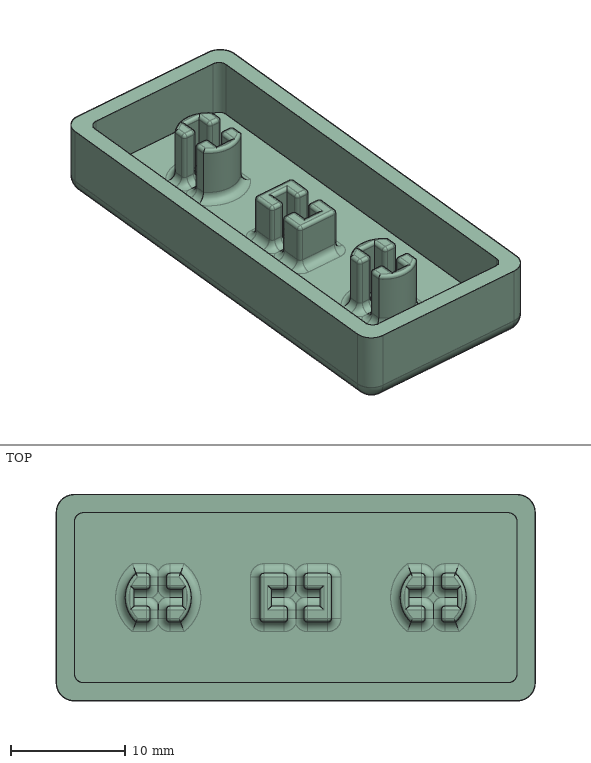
import cadquery as cq
LENGTH = 41.85
WIDTH = 18.05
HEIGHT = 7.0
WALL = 1.6
FLOOR = 1.6
OUTER_RADIUS = 1.6
INNER_RADIUS = 0.8

SQUARE_POST_TOP = 6.0
ROUND_POST_TOP = HEIGHT
POST_PITCH = 12.0
POST_DEPTH = 4.25
SQUARE_POST_LENGTH = 6.25
ROUND_POST_DIAMETER = 5.78
EDGE_RADIUS = 0.35
FOOT_RADIUS = 0.85

SOCKET_LENGTH = 4.23
SOCKET_WIDTH = 1.45
GAP_WIDTH = 1.42

REACH = 6.28
PAD_HEIGHTS = (FLOOR / 2, FLOOR)
MARGIN = 0.05


def make_tray():
    shell = (
        cq.Workplane("XY")
        .box(LENGTH, WIDTH, HEIGHT, centered=(True, True, False))
        .edges("|Z")
        .fillet(OUTER_RADIUS)
        .faces("<Z")
        .edges()
        .fillet(OUTER_RADIUS)
    )
    cavity = (
        cq.Workplane("XY", origin=(0, 0, FLOOR))
        .rect(LENGTH - 2 * WALL, WIDTH - 2 * WALL)
        .extrude(HEIGHT - FLOOR)
        .edges("|Z")
        .fillet(INNER_RADIUS)
    )
    return shell.cut(cavity)


def block(x_range, y_range, z_range):
    low, high = zip(x_range, y_range, z_range)
    size = [b - a for a, b in zip(low, high)]
    return cq.Workplane("XY", origin=low).box(*size, centered=False)


def edges_on_floor(x_range, y_range):
    low, high = zip(x_range, y_range, (FLOOR - MARGIN, FLOOR + MARGIN))
    return cq.selectors.BoxSelector(low, high)


def post_quarter(post_length, post_top):
    """The +X +Y quarter of a rectangular post, with its foot and the floor below it.

    It is rounded while it still runs past Y = 0, then trimmed at both middle planes,
    because the feet inside the socket are wider than half of the socket.
    """
    post_end = post_length / 2
    socket_end = SOCKET_LENGTH / 2
    arm = block((GAP_WIDTH / 2, post_end), (-REACH, POST_DEPTH / 2), (FLOOR, post_top))
    arm = arm.cut(block((0, socket_end), (-REACH, SOCKET_WIDTH / 2), (FLOOR, post_top)))
    arm = arm.edges("|Z and (<X or >Y)").fillet(EDGE_RADIUS)
    arm = arm.faces(">Z").edges("not <Y").fillet(EDGE_RADIUS)

    floor_slab = block((-REACH, post_end + REACH), (-2 * REACH, REACH), PAD_HEIGHTS)
    foot_lines = edges_on_floor((0, post_end + MARGIN), (-REACH - MARGIN, POST_DEPTH / 2 + MARGIN))
    end_wall_line = edges_on_floor((socket_end - MARGIN, socket_end + MARGIN), (-REACH + MARGIN, 0))
    body = floor_slab.union(arm).edges(foot_lines - end_wall_line).fillet(FOOT_RADIUS)

    foot_end = post_end + FOOT_RADIUS
    foot_side = POST_DEPTH / 2 + FOOT_RADIUS
    return body.intersect(block((0, foot_end), (0, foot_side), (0, post_top)))


def mirror_quarter(quarter):
    half = quarter.union(quarter.mirror("XZ"))
    return half.union(half.mirror("YZ"))


def make_square_post():
    return mirror_quarter(post_quarter(SQUARE_POST_LENGTH, SQUARE_POST_TOP))


def make_round_post():
    """A long rectangular post trimmed by a turned shape with the same edge and foot."""
    radius = ROUND_POST_DIAMETER / 2
    turned = (
        cq.Workplane("XZ")
        .lineTo(radius + FOOT_RADIUS, 0)
        .lineTo(radius + FOOT_RADIUS, FLOOR)
        .radiusArc((radius, FLOOR + FOOT_RADIUS), FOOT_RADIUS)
        .lineTo(radius, ROUND_POST_TOP - EDGE_RADIUS)
        .radiusArc((radius - EDGE_RADIUS, ROUND_POST_TOP), -EDGE_RADIUS)
        .lineTo(0, ROUND_POST_TOP)
        .close()
        .revolve(360, (0, 0, 0), (0, 1, 0))
    )
    quarter = post_quarter(2 * REACH, ROUND_POST_TOP).intersect(turned)
    return mirror_quarter(quarter)


result = make_tray().union(make_square_post())
round_post = make_round_post()
for x in (-POST_PITCH, POST_PITCH):
    result = result.union(round_post.translate((x, 0, 0)))